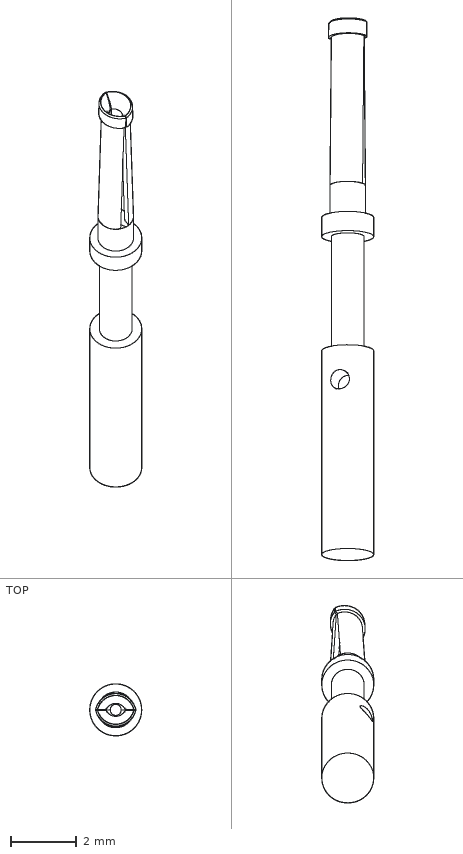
import cadquery as cq
import math

TOTAL_LENGTH = 16.81
BARREL_TOP = 6.42
COLLAR_THICKNESS = 0.6
COLLAR_TOP = 10.62
FINGER_BASE = 11.63

BARREL_DIAMETER = 1.6
STEM_DIAMETER = 1.01
NECK_DIAMETER = 1.1

LIP_DIAMETER = 1.26
LIP_HEIGHT = 0.49
LIP_CHAMFER = 0.05

MOUTH_DIAMETER = 1.15
MOUTH_DEPTH = 0.25
THROAT_DIAMETER = 0.8
THROAT_DEPTH = 0.25
BORE_DIAMETER = 0.64
PIT_DIAMETER = 0.34
PIT_DEPTH = 0.17

SLOT_WIDTH = 0.29
TIP_GAP = 0.02
FINGER_LENGTH = TOTAL_LENGTH - FINGER_BASE
LEAN = math.asin((SLOT_WIDTH - TIP_GAP) / 2 / FINGER_LENGTH)

RIM_RADIUS = LIP_DIAMETER / 2 - LIP_CHAMFER
RIM_OVERHANG = RIM_RADIUS - NECK_DIAMETER / 2
STRAIGHT_LENGTH = (FINGER_LENGTH - RIM_OVERHANG * math.sin(LEAN)) / math.cos(LEAN)
STRAIGHT_TOP = FINGER_BASE + STRAIGHT_LENGTH

SIGHT_HOLE_DIAMETER = 0.6
SIGHT_HOLE_HEIGHT = 5.35


def cylinder(diameter, bottom, top):
    return cq.Workplane("XY").workplane(offset=bottom).circle(diameter / 2).extrude(top - bottom)


def revolved(points):
    """Solid turned about Z from a closed outline of (radius, height) points."""
    return cq.Workplane("XZ").polyline(points).close().revolve(360, (0, 0, 0), (0, 1, 0))


def shaft():
    barrel = cylinder(BARREL_DIAMETER, 0, BARREL_TOP)
    stem = cylinder(STEM_DIAMETER, BARREL_TOP, COLLAR_TOP)
    collar = cylinder(BARREL_DIAMETER, COLLAR_TOP - COLLAR_THICKNESS, COLLAR_TOP)
    neck = cylinder(NECK_DIAMETER, COLLAR_TOP, FINGER_BASE)
    return barrel.union(stem).union(collar).union(neck)


def sight_hole():
    return (
        cq.Workplane("XZ")
        .center(0, SIGHT_HOLE_HEIGHT)
        .circle(SIGHT_HOLE_DIAMETER / 2)
        .extrude(-BARREL_DIAMETER)
    )


def socket_pit():
    """Conical pit in the socket floor between the fingers."""
    return revolved([(0, FINGER_BASE), (PIT_DIAMETER / 2, FINGER_BASE), (0, FINGER_BASE - PIT_DEPTH)])


def finger():
    """The +Y finger: part of a lipped tube, leaned towards the axis about its outer foot."""
    lip_bottom = STRAIGHT_TOP - LIP_HEIGHT
    throat_top = STRAIGHT_TOP - MOUTH_DEPTH
    tube = revolved([
        (BORE_DIAMETER / 2, FINGER_BASE),
        (NECK_DIAMETER / 2, FINGER_BASE),
        (NECK_DIAMETER / 2, lip_bottom),
        (LIP_DIAMETER / 2, lip_bottom),
        (LIP_DIAMETER / 2, STRAIGHT_TOP - LIP_CHAMFER),
        (RIM_RADIUS, STRAIGHT_TOP),
        (MOUTH_DIAMETER / 2, STRAIGHT_TOP),
        (THROAT_DIAMETER / 2, throat_top),
        (BORE_DIAMETER / 2, throat_top - THROAT_DEPTH),
    ])
    beyond_slot = (
        cq.Workplane("XY")
        .box(LIP_DIAMETER, LIP_DIAMETER, STRAIGHT_LENGTH, centered=(True, False, False))
        .translate((0, SLOT_WIDTH / 2, FINGER_BASE))
    )
    foot = (0, NECK_DIAMETER / 2, FINGER_BASE)
    foot_axis_end = (1, NECK_DIAMETER / 2, FINGER_BASE)
    return tube.intersect(beyond_slot).rotate(foot, foot_axis_end, math.degrees(LEAN))


back_finger = finger()
front_finger = back_finger.mirror("XZ")
result = shaft().cut(sight_hole()).cut(socket_pit()).union(back_finger).union(front_finger)